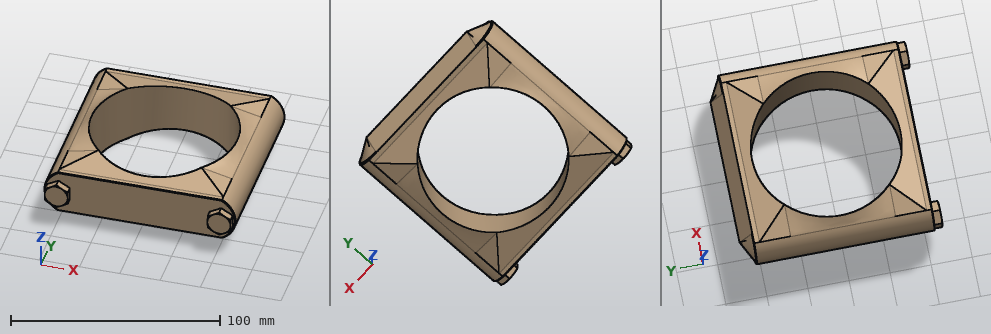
import cadquery as cq

body_length = 87.0
half_length = body_length / 2
half_width = 47.5
half_thickness = 11.3
flat_half_width = 40.7
end_chamfer = 0.4

bore_radius = 36.1
collar_top = 14.9
diagonal = bore_radius / 2**0.5

ridge_height = 5.9
ridge_half_length = 35.6
ridge_half_thickness = half_thickness - end_chamfer

bolt_spacing = 80.8
bolt_head_height = 4.0
bolt_across_flats = 11.4
bolt_across_corners = bolt_across_flats * 2 / 3**0.5
bolt_chamfer = 0.4


def make_body():
    """Flat slab with bulging sides, running along Y."""
    outline = (
        cq.Workplane("XZ", origin=(0, half_length, 0))
        .moveTo(-flat_half_width, half_thickness)
        .lineTo(flat_half_width, half_thickness)
        .threePointArc((half_width, 0), (flat_half_width, -half_thickness))
        .lineTo(-flat_half_width, -half_thickness)
        .threePointArc((-half_width, 0), (-flat_half_width, half_thickness))
        .close()
    )
    return outline.extrude(body_length).faces("<Y or >Y").chamfer(end_chamfer)


def make_collar():
    """Upper collar: hipped corners joined by sides that blend into the bore."""
    rise = collar_top - half_thickness
    hips = (
        cq.Workplane("XY", origin=(0, 0, half_thickness))
        .rect(2 * flat_half_width, 2 * flat_half_width)
        .workplane(offset=rise)
        .rect(2 * diagonal, 2 * diagonal)
        .loft(ruled=True)
    )
    sides = (
        cq.Workplane("XY", origin=(0, 0, half_thickness))
        .moveTo(-flat_half_width, -diagonal)
        .lineTo(flat_half_width, -diagonal)
        .lineTo(flat_half_width, diagonal)
        .lineTo(-flat_half_width, diagonal)
        .close()
        .workplane(offset=rise)
        .moveTo(-diagonal, -diagonal)
        .lineTo(diagonal, -diagonal)
        .threePointArc((bore_radius, 0), (diagonal, diagonal))
        .lineTo(-diagonal, diagonal)
        .threePointArc((-bore_radius, 0), (-diagonal, -diagonal))
        .close()
        .loft(ruled=True)
    )
    return hips.union(sides)


def make_ridge():
    """Triangular ridge along X with a cone at each end."""
    ridge = (
        cq.Workplane("YZ", origin=(-ridge_half_length, 0, 0))
        .moveTo(half_length, -ridge_half_thickness)
        .lineTo(half_length + ridge_height, 0)
        .lineTo(half_length, ridge_half_thickness)
        .close()
        .extrude(2 * ridge_half_length)
    )
    for x in (-ridge_half_length, ridge_half_length):
        cone = cq.Solid.makeCone(
            ridge_half_thickness, 0, ridge_height,
            pnt=cq.Vector(x, half_length, 0), dir=cq.Vector(0, 1, 0),
        )
        ridge = ridge.union(cq.Workplane(cone))
    return ridge


def make_bolt_heads():
    """Two hexagonal heads, points up and down, with chamfered outer corners."""
    centers = [(-bolt_spacing / 2, 0), (bolt_spacing / 2, 0)]
    hexagon = (
        cq.Workplane("XY")
        .polygon(6, bolt_across_corners)
        .extrude(bolt_head_height)
        .rotate((0, 0, 0), (0, 0, 1), 90)
        .val()
    )
    start = cq.Workplane("XZ", origin=(0, -half_length, 0))
    hexagons = (
        start.pushPoints(centers)
        .eachpoint(lambda location: hexagon.moved(location), combine=False)
    )
    blanks = (
        start.pushPoints(centers)
        .circle(bolt_across_corners / 2)
        .extrude(bolt_head_height)
        .faces("<Y")
        .chamfer(bolt_chamfer, (bolt_across_corners - bolt_across_flats) / 2)
    )
    return blanks.intersect(hexagons)


collar = make_collar()
result = make_body().union(collar).union(collar.mirror("XY"))
result = result.union(make_ridge()).union(make_bolt_heads())
bore = cq.Workplane("XY", origin=(0, 0, -collar_top)).circle(bore_radius).extrude(2 * collar_top)
result = result.cut(bore)